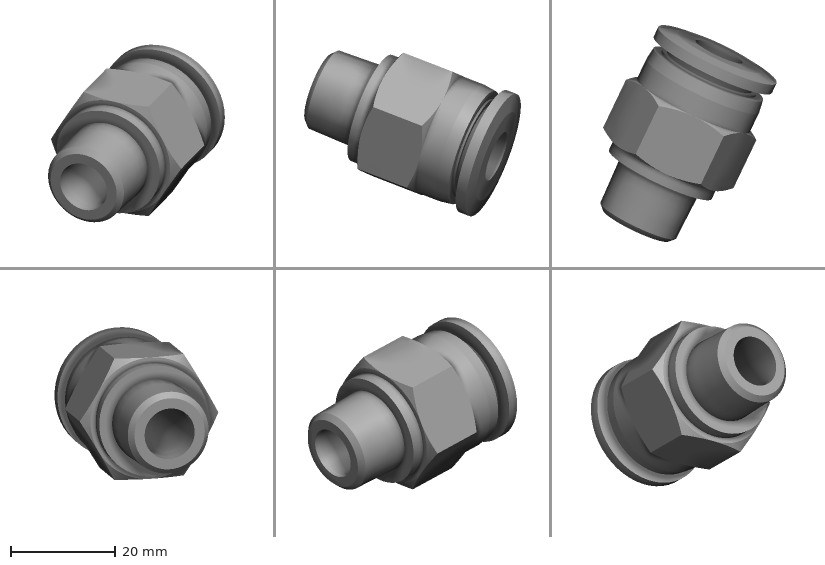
import cadquery as cq
import math


spigot_length = 11.0
collar_length = 2.5
hex_length = 12.5
body_length = 6.7
body_taper_length = 2.5
step_length = 0.45
neck_length = 1.55
neck_flare_length = 0.5
flange_length = 2.8
flange_cone_length = 0.7

spigot_root_radius = 8.38
thread_taper = 1 / 16
spigot_chamfer = 1.05
bore_radius = 5.0

across_flats = 24.0
hex_chamfer_angle = math.radians(30)

collar_radius = 10.95
body_radius = across_flats / 2
body_tip_radius = 11.65
step_radius = 10.0
neck_radius = 9.0
flange_radius = 12.6
flange_face_radius = 9.1

collar_start = spigot_length
hex_start = collar_start + collar_length
body_start = hex_start + hex_length
step_start = body_start + body_length
neck_start = step_start + step_length
flange_start = neck_start + neck_length
flange_end = flange_start + flange_length


def revolve_profile(points):
    """Revolve a closed (radius, y) outline about the Y axis."""
    return cq.Workplane("XY").polyline(points).close().revolve(360, (0, 0, 0), (0, 1, 0))


def make_spigot():
    """Tapered thread blank with a chamfered end, plus the collar behind it."""
    tapered_length = spigot_length - spigot_chamfer
    spigot_tip_radius = spigot_root_radius - tapered_length * thread_taper / 2
    return revolve_profile([
        (0, 0),
        (spigot_tip_radius - spigot_chamfer, 0),
        (spigot_tip_radius, spigot_chamfer),
        (spigot_root_radius, collar_start),
        (collar_radius, collar_start),
        (collar_radius, hex_start),
        (0, hex_start),
    ])


def make_hexagon():
    """Hexagon with flats facing +Z and -Z, its corners turned off at both ends."""
    corner_radius = across_flats / 2 / math.cos(math.pi / 6)
    chamfer_length = (corner_radius - across_flats / 2) * math.tan(hex_chamfer_angle)
    prism = (
        cq.Workplane("XZ", origin=(0, body_start, 0))
        .polygon(6, 2 * corner_radius)
        .extrude(hex_length)
    )
    turned_envelope = revolve_profile([
        (0, hex_start),
        (across_flats / 2, hex_start),
        (corner_radius, hex_start + chamfer_length),
        (corner_radius, body_start - chamfer_length),
        (across_flats / 2, body_start),
        (0, body_start),
    ])
    return prism.intersect(turned_envelope)


def make_body_and_button():
    """Round body with a tapered end, then the necked release button."""
    return revolve_profile([
        (0, body_start),
        (body_radius, body_start),
        (body_radius, step_start - body_taper_length),
        (body_tip_radius, step_start),
        (step_radius, step_start),
        (step_radius, neck_start),
        (neck_radius, neck_start),
        (neck_radius, flange_start - neck_flare_length),
        (neck_radius + neck_flare_length, flange_start),
        (flange_radius, flange_start),
        (flange_radius, flange_end - flange_cone_length),
        (flange_face_radius, flange_end),
        (0, flange_end),
    ])


def make_bore():
    """Straight passage through the whole fitting."""
    return cq.Workplane("XZ").circle(bore_radius).extrude(-flange_end)


result = make_spigot().union(make_hexagon()).union(make_body_and_button()).cut(make_bore())